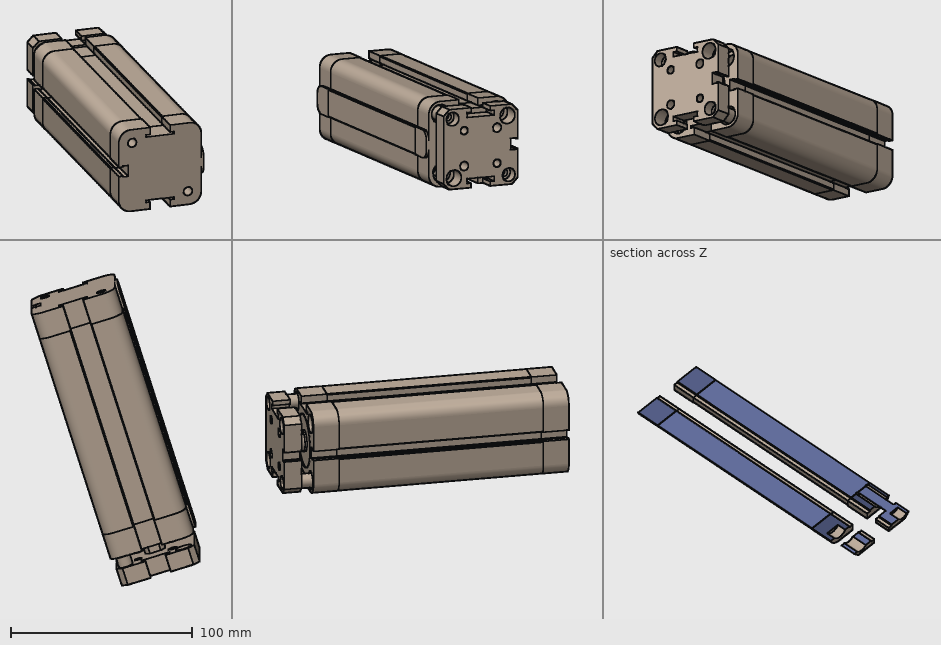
import cadquery as cq

TOTAL_LENGTH = 160.5
PLATE_THICKNESS = 9.8
CAP_START = 16.2
CAP_LENGTH = 14.5
BARREL_START = CAP_START + CAP_LENGTH
REAR_CAP_START = TOTAL_LENGTH - CAP_LENGTH
BARREL_LENGTH = REAR_CAP_START - BARREL_START

BODY_SIDE = 48.0
CAP_CORNER_RADIUS = 6.9
BARREL_CORNER_RADIUS = 7.0
PLATE_SIDE = 45.0
PLATE_CHAMFER = 3.5

WIDE_MOUTH_WIDTH = 11.5
WIDE_UNDERCUT_WIDTH = 16.4
WIDE_UNDERCUT_TOP = 19.9
WIDE_FLOOR = 18.6
PLATE_WIDE_FLOOR = 17.2

SIDE_MOUTH_WIDTH = 5.5
SIDE_UNDERCUT_WIDTH = 6.5
SIDE_UNDERCUT_TOP = 21.5
SIDE_FLOOR = 18.6
PLATE_SIDE_FLOOR = 18.3

LIP_CHAMFER = 0.5

RAIL_WIDTH = 15.7
RAIL_HEIGHT = 1.5
RAIL_END_RADIUS = 5.1

GUIDE_OFFSET = 17.0
GUIDE_DIAMETER = 8.0
GUIDE_BORE = 10.5
GUIDE_SCREW_HEAD_BORE = 7.5
GUIDE_SCREW_HEAD_DEPTH = 6.5
GUIDE_SCREW_HOLE = 4.2

MOUNT_OFFSET = 16.2
MOUNT_ACCESS_HOLE = 9.0
MOUNT_HEAD_BORE = 10.5
MOUNT_HEAD_DEPTH = 5.5
MOUNT_CLEARANCE_HOLE = 5.8
MOUNT_HOLE = 5.0

ATTACH_OFFSET = 10.0
TAPPED_HOLE = 4.2
TAPPED_HOLE_MOUTH = 4.5
DOWEL_HOLE = 5.0

ROD_DIAMETER = 11.7
ROD_COLLAR_DIAMETER = 12.0
ROD_COLLAR_LENGTH = 0.6
ROD_ACROSS_FLATS = 10.0

RECESS_DIAMETER = 30.0
RECESS_DEPTH = 0.5

RISING = [1, -1]


def rising_corners(offset):
    """Points on the (+Y, +Z) and (-Y, -Z) diagonal."""
    return [(sign * offset, sign * offset) for sign in RISING]


def falling_corners(offset):
    """Points on the (-Y, +Z) and (+Y, -Z) diagonal."""
    return [(-sign * offset, sign * offset) for sign in RISING]


def cross_section(x):
    """Workplane at x whose local axes are Y and Z and whose normal is +X."""
    return cq.Workplane("YZ", origin=(x, 0, 0))


def cylinders(x, length, diameter, points):
    return cross_section(x).pushPoints(points).circle(diameter / 2).extrude(length)


def square_bar(x, length, side):
    return cross_section(x).rect(side, side).extrude(length)


def t_slot(x, length, mouth_width, undercut_width, undercut_top, floor, chamfer=0.0):
    """T-slot cutter opening toward +Z, with optionally chamfered mouth edges at the body surface."""
    surface = BODY_SIDE / 2
    mouth = mouth_width / 2
    undercut = undercut_width / 2
    right_side = [(undercut, floor), (undercut, undercut_top), (mouth, undercut_top)]
    if chamfer:
        right_side += [(mouth, surface - chamfer), (mouth + chamfer, surface)]
    else:
        right_side += [(mouth, surface)]
    left_side = [(-y, z) for y, z in reversed(right_side)]
    return cross_section(x).polyline(right_side + left_side).close().extrude(length)


def cut_slots(body, x, length, wide_floor, side_floor, chamfer=0.0):
    """Cut the top, bottom and -Y slots along a body."""
    wide = t_slot(x, length, WIDE_MOUTH_WIDTH, WIDE_UNDERCUT_WIDTH, WIDE_UNDERCUT_TOP, wide_floor, chamfer)
    side = t_slot(x, length, SIDE_MOUTH_WIDTH, SIDE_UNDERCUT_WIDTH, SIDE_UNDERCUT_TOP, side_floor, chamfer)
    top_to_bottom = 180
    top_to_front = 90
    body = body.cut(wide)
    body = body.cut(wide.rotate((0, 0, 0), (1, 0, 0), top_to_bottom))
    return body.cut(side.rotate((0, 0, 0), (1, 0, 0), top_to_front))


def rail(x, length):
    """Straight length of the rail, standing on the +Y face of the body."""
    centre_y = (BODY_SIDE + RAIL_HEIGHT) / 2
    return cross_section(x).center(centre_y, 0).rect(RAIL_HEIGHT, RAIL_WIDTH).extrude(length)


def cap(x, rail_end, mount_hole):
    """Slotted end cap with mounting holes; rail_end selects the X end where the rail is rounded off."""
    body = square_bar(x, CAP_LENGTH, BODY_SIDE).edges("|X").fillet(CAP_CORNER_RADIUS)
    body = body.union(rail(x, CAP_LENGTH).faces(rail_end).edges("|Y").fillet(RAIL_END_RADIUS))
    body = cut_slots(body, x, CAP_LENGTH, WIDE_FLOOR, SIDE_FLOOR)
    return body.cut(cylinders(x, CAP_LENGTH, mount_hole, falling_corners(MOUNT_OFFSET)))


def make_front_cap():
    body = cap(CAP_START, "<X", MOUNT_CLEARANCE_HOLE)
    body = body.cut(cylinders(CAP_START, RECESS_DEPTH, RECESS_DIAMETER, [(0, 0)]))
    body = body.cut(cylinders(CAP_START, MOUNT_HEAD_DEPTH, MOUNT_HEAD_BORE, falling_corners(MOUNT_OFFSET)))
    body = body.cut(cylinders(CAP_START, CAP_LENGTH, GUIDE_BORE, rising_corners(GUIDE_OFFSET)))
    return body.cut(cylinders(CAP_START, CAP_LENGTH, ROD_COLLAR_DIAMETER, [(0, 0)]))


def make_rear_cap():
    return cap(REAR_CAP_START, ">X", MOUNT_HOLE)


def make_barrel():
    body = square_bar(BARREL_START, BARREL_LENGTH, BODY_SIDE).edges("|X").fillet(BARREL_CORNER_RADIUS)
    body = body.union(rail(BARREL_START, BARREL_LENGTH).faces(">Y").edges("|X").chamfer(LIP_CHAMFER))
    body = cut_slots(body, BARREL_START, BARREL_LENGTH, WIDE_FLOOR, SIDE_FLOOR, LIP_CHAMFER)
    return body.cut(cylinders(BARREL_START, BARREL_LENGTH, MOUNT_HOLE, falling_corners(MOUNT_OFFSET)))


def cut_tapped_holes(plate):
    """Cut two holes through the plate, each with a slightly countersunk mouth."""
    corners = rising_corners(ATTACH_OFFSET)
    plate = plate.cut(cylinders(0, PLATE_THICKNESS, TAPPED_HOLE, corners))
    mouth_depth = (TAPPED_HOLE_MOUTH - TAPPED_HOLE) / 2
    mouths = cross_section(0).pushPoints(corners).circle(TAPPED_HOLE_MOUTH / 2).extrude(mouth_depth, taper=45)
    return plate.cut(mouths)


def make_yoke():
    """Yoke plate carrying the two guide rods."""
    guide_corners = rising_corners(GUIDE_OFFSET)
    body = square_bar(0, PLATE_THICKNESS, PLATE_SIDE).edges("|X").chamfer(PLATE_CHAMFER)
    body = cut_slots(body, 0, PLATE_THICKNESS, PLATE_WIDE_FLOOR, PLATE_SIDE_FLOOR)
    guide_length = BARREL_START - PLATE_THICKNESS
    body = body.union(cylinders(PLATE_THICKNESS, guide_length, GUIDE_DIAMETER, guide_corners))
    body = body.cut(cylinders(0, GUIDE_SCREW_HEAD_DEPTH, GUIDE_SCREW_HEAD_BORE, guide_corners))
    body = body.cut(cylinders(0, PLATE_THICKNESS, GUIDE_SCREW_HOLE, guide_corners))
    body = body.cut(cylinders(0, PLATE_THICKNESS, MOUNT_ACCESS_HOLE, falling_corners(MOUNT_OFFSET)))
    body = body.cut(cylinders(0, PLATE_THICKNESS, DOWEL_HOLE, falling_corners(ATTACH_OFFSET)))
    return cut_tapped_holes(body)


def make_piston_rod():
    """Rod with two wrench flats facing +Z and -Z ahead of its full-round collar."""
    flats_end = CAP_START - ROD_COLLAR_LENGTH
    flats_length = flats_end - PLATE_THICKNESS
    neck = cylinders(PLATE_THICKNESS, flats_length, ROD_DIAMETER, [(0, 0)])
    neck = neck.intersect(
        cross_section(PLATE_THICKNESS).rect(ROD_DIAMETER, ROD_ACROSS_FLATS).extrude(flats_length)
    )
    return neck.union(cylinders(flats_end, BARREL_START - flats_end, ROD_COLLAR_DIAMETER, [(0, 0)]))


yoke = make_yoke()
piston_rod = make_piston_rod()
front_cap = make_front_cap()
barrel = make_barrel()
rear_cap = make_rear_cap()

result = cq.Compound.makeCompound(
    [yoke.val(), piston_rod.val(), front_cap.val(), barrel.val(), rear_cap.val()]
)